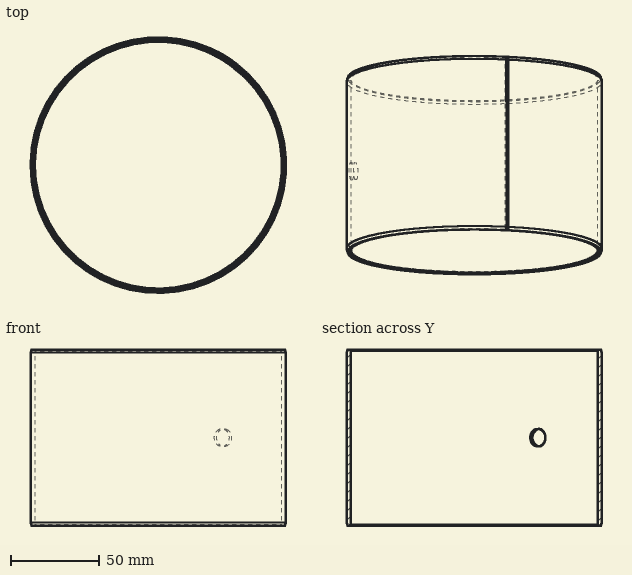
import cadquery as cq
import math

outer_diameter = 145.0
wall = 2.5
height = 100.0

outer_chamfer_length = 1.8
outer_chamfer_angle = 20.0
inner_chamfer = 0.8

slit_angle = 1.0

hole_diameter = 10.0
hole_angle = 59.0

outer_radius = outer_diameter / 2
inner_radius = outer_radius - wall
half_height = height / 2
outer_chamfer_depth = outer_chamfer_length * math.tan(math.radians(outer_chamfer_angle))


def make_sleeve():
    """Revolve the wall section, chamfered at all four corners, from the -X axis round to the slit."""
    section = [
        (inner_radius + inner_chamfer, -half_height),
        (outer_radius - outer_chamfer_depth, -half_height),
        (outer_radius, -half_height + outer_chamfer_length),
        (outer_radius, half_height - outer_chamfer_length),
        (outer_radius - outer_chamfer_depth, half_height),
        (inner_radius + inner_chamfer, half_height),
        (inner_radius, half_height - inner_chamfer),
        (inner_radius, -half_height + inner_chamfer),
    ]
    sleeve = cq.Workplane("XZ").polyline(section).close().revolve(360 - slit_angle, (0, 0), (0, 1))
    return sleeve.rotate((0, 0, 0), (0, 0, 1), 180)


def make_hole_cutter():
    """Cylinder running from the axis outwards at the hole angle."""
    cylinder = cq.Workplane("YZ").circle(hole_diameter / 2).extrude(outer_diameter)
    return cylinder.rotate((0, 0, 0), (0, 0, 1), hole_angle)


result = make_sleeve().cut(make_hole_cutter())